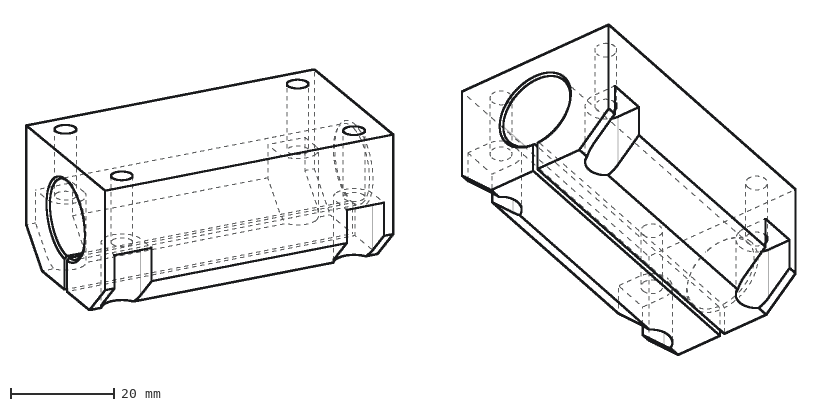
import cadquery as cq

width = 35.0
length = 62.0
height = 28.0
corner_cut = 7.0

bore_diameter = 16.0
bore_mouth_diameter = 17.0
bore_height = 15.0
mouth_depth = (bore_mouth_diameter - bore_diameter) / 2
slit_width = 1.0

hole_diameter = 4.2
hole_spacing_x = 25.0
hole_spacing_y = 50.0
recess_diameter = 8.0
recess_height = 14.0


def make_block():
    block = cq.Workplane("XY").box(width, length, height, centered=(True, True, False))
    return block.faces("<Z").edges("|Y").chamfer(corner_cut)


def make_bore():
    """Bore with a conical lead-in at each end."""
    axis = cq.Workplane("XY", origin=(0, 0, bore_height))
    half_length = length / 2
    radius = bore_diameter / 2
    mouth_radius = bore_mouth_diameter / 2
    profile = (
        axis.moveTo(0, -half_length)
        .lineTo(mouth_radius, -half_length)
        .lineTo(radius, -half_length + mouth_depth)
        .lineTo(radius, half_length - mouth_depth)
        .lineTo(mouth_radius, half_length)
        .lineTo(0, half_length)
        .close()
    )
    return profile.revolve(360, (0, 0, 0), (0, 1, 0))


def make_slit():
    return cq.Workplane("XY").box(slit_width, length, bore_height, centered=(True, True, False))


def make_mounting_hole(side, y):
    """Through hole and its recess; side is -1 or +1 along X."""
    x = side * hole_spacing_x / 2
    hole = cq.Workplane("XY").center(x, y).circle(hole_diameter / 2).extrude(height)
    recess = cq.Workplane("XY").center(x, y).circle(recess_diameter / 2).extrude(recess_height)
    opening_length = width / 2 - abs(x)
    opening = (
        cq.Workplane("XY")
        .center(x + side * opening_length / 2, y)
        .rect(opening_length, recess_diameter)
        .extrude(recess_height)
    )
    return hole.union(recess).union(opening)


result = make_block().cut(make_bore()).cut(make_slit())
for side in (-1, 1):
    for y in (-hole_spacing_y / 2, hole_spacing_y / 2):
        result = result.cut(make_mounting_hole(side, y))